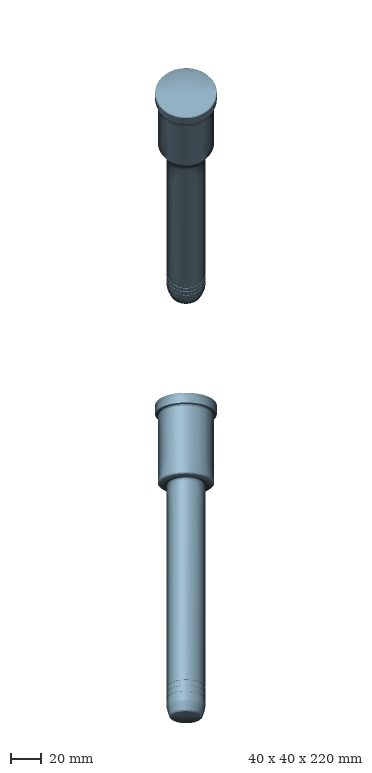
import cadquery as cq

total_length = 220.0
head_height = 7.0
step_z = 164.0

head_radius = 20.0
shank_radius = 18.3
pin_radius = 12.5
nose_tip_radius = 10.8

head_chamfer = 0.5
shank_chamfer = 0.7
relief_width = 1.3
relief_depth = 0.7

nose_height = 7.0
nose_bulge = 0.2
tip_chamfer = 0.7

groove_count = 3
groove_pitch = 4.0
groove_width = 0.9
groove_depth = 0.2
lowest_groove_z = 12.8


def cylinder(radius, bottom, top):
    return cq.Workplane("XY").workplane(offset=bottom).circle(radius).extrude(top - bottom)


def ring_cut(radius, depth, bottom, width):
    """Square ring removed from the outside of a cylinder."""
    outer = cylinder(radius + depth, bottom, bottom + width)
    return outer.cut(cylinder(radius - depth, bottom, bottom + width))


def relief_cut(radius, top):
    """Undercut with a flat bottom and a sloping lower wall."""
    floor_radius = radius - relief_depth
    profile = (
        cq.Workplane("XZ")
        .moveTo(radius, top)
        .lineTo(floor_radius, top)
        .lineTo(floor_radius, top - relief_width + relief_depth)
        .lineTo(radius, top - relief_width)
        .close()
    )
    return profile.revolve(360, (0, 0), (0, 1))


def make_head():
    head = cylinder(head_radius, total_length - head_height, total_length)
    return head.faces(">Z").edges().chamfer(head_chamfer)


def make_shank():
    shank_top = total_length - head_height
    shank = cylinder(shank_radius, step_z, shank_top)
    shank = shank.faces("<Z").edges().chamfer(shank_chamfer)
    return shank.cut(relief_cut(shank_radius, shank_top))


def make_nose():
    arc_middle_radius = (pin_radius + nose_tip_radius) / 2 + nose_bulge
    arc_middle_z = (nose_height + tip_chamfer) / 2
    profile = (
        cq.Workplane("XZ")
        .lineTo(nose_tip_radius - tip_chamfer, 0)
        .lineTo(nose_tip_radius, tip_chamfer)
        .threePointArc((arc_middle_radius, arc_middle_z), (pin_radius, nose_height))
        .lineTo(0, nose_height)
        .close()
    )
    return profile.revolve(360, (0, 0), (0, 1))


def make_pin():
    pin = cylinder(pin_radius, nose_height, step_z)
    pin = pin.faces(">Z").edges().chamfer(relief_width, relief_depth)
    for index in range(groove_count):
        groove_bottom = lowest_groove_z + index * groove_pitch - groove_width / 2
        pin = pin.cut(ring_cut(pin_radius, groove_depth, groove_bottom, groove_width))
    return pin


result = make_head().union(make_shank()).union(make_pin()).union(make_nose())